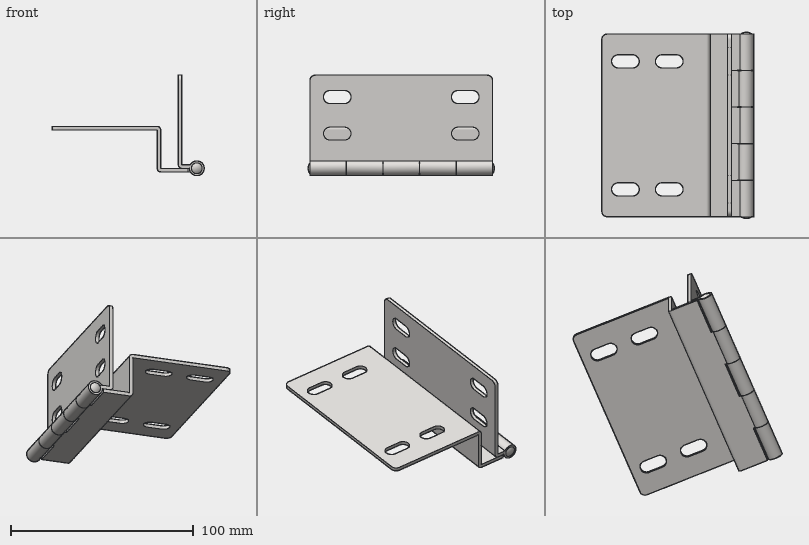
import cadquery as cq


leaf_width = 100.0
sheet = 2.0
corner_radius = 3.1

knuckle_radius = 4.1
knuckle_count = 5
knuckle_gap = 0.1
knuckle_clearance = 0.6

pin_radius = 3.0
dome_height = 1.0

offset_leaf_end = -79.0
offset_leaf_web = -21.7
offset_leaf_top = 23.0

angle_leaf_face = -10.2
angle_leaf_top = 51.0

slot_length = 15.0
slot_width = 7.0
slot_spacing_y = 70.0
offset_slot_edge = 13.0
offset_slot_pitch = 24.0
angle_slot_edge = 12.0
angle_slot_pitch = 20.0

knuckle_pitch = (leaf_width + knuckle_gap) / knuckle_count
knuckle_length = knuckle_pitch - knuckle_gap
notch_length = knuckle_length + 2 * knuckle_gap
angle_knuckles = range(0, knuckle_count, 2)
offset_knuckles = range(1, knuckle_count, 2)
angle_leaf_inner = angle_leaf_face + sheet
offset_notch_edge = -(knuckle_radius + knuckle_clearance)


def extrude_along_pin(profile, length, center_y=0):
    """Extrude an XZ profile symmetrically about center_y."""
    return profile.extrude(length / 2, both=True).translate((0, center_y, 0))


def knuckle_center(index):
    """Y of the middle of a knuckle, counted from the -Y end."""
    return (index - (knuckle_count - 1) / 2) * knuckle_pitch


def add_knuckles(leaf, notch_edge, own_indices, other_indices):
    """Roll a leaf's own knuckles and notch it back where the other leaf's knuckles sit."""
    for index in other_indices:
        notch = cq.Workplane("XY").box(-notch_edge, notch_length, 2 * sheet)
        leaf = leaf.cut(notch.translate((notch_edge / 2, knuckle_center(index), 0)))
    for index in own_indices:
        barrel = cq.Workplane("XZ").circle(knuckle_radius)
        leaf = leaf.union(extrude_along_pin(barrel, knuckle_length, knuckle_center(index)))
    bore = cq.Workplane("XZ").circle(pin_radius)
    return leaf.cut(extrude_along_pin(bore, leaf_width))


def make_offset_leaf():
    """Z-shaped leaf: mounting plate, web down, and a flange under Z = 0 to the pin."""
    web_inner = offset_leaf_web + sheet
    profile = (
        cq.Workplane("XZ")
        .moveTo(0, 0)
        .lineTo(web_inner, 0)
        .lineTo(web_inner, offset_leaf_top - sheet)
        .radiusArc((offset_leaf_web, offset_leaf_top), -sheet)
        .lineTo(offset_leaf_end, offset_leaf_top)
        .lineTo(offset_leaf_end, offset_leaf_top - sheet)
        .lineTo(offset_leaf_web, offset_leaf_top - sheet)
        .lineTo(offset_leaf_web, 0)
        .radiusArc((web_inner, -sheet), -sheet)
        .lineTo(0, -sheet)
        .close()
    )
    leaf = extrude_along_pin(profile, leaf_width)
    leaf = leaf.faces("<X").edges("|Z").fillet(corner_radius)

    slot_row_x = offset_leaf_end + offset_slot_edge + offset_slot_pitch / 2
    slots = (
        cq.Workplane("XY", origin=(slot_row_x, 0, offset_leaf_top))
        .rarray(offset_slot_pitch, slot_spacing_y, 2, 2)
        .slot2D(slot_length, slot_width)
        .extrude(-sheet)
    )
    return add_knuckles(leaf.cut(slots), offset_notch_edge, offset_knuckles, angle_knuckles)


def make_angle_leaf():
    """L-shaped leaf: upright plate and a flange on top of Z = 0 to the pin."""
    profile = (
        cq.Workplane("XZ")
        .moveTo(0, 0)
        .lineTo(angle_leaf_inner, 0)
        .radiusArc((angle_leaf_face, sheet), sheet)
        .lineTo(angle_leaf_face, angle_leaf_top)
        .lineTo(angle_leaf_inner, angle_leaf_top)
        .lineTo(angle_leaf_inner, sheet)
        .lineTo(0, sheet)
        .close()
    )
    leaf = extrude_along_pin(profile, leaf_width)
    leaf = leaf.faces(">Z").edges("|X").fillet(corner_radius)

    slot_row_z = angle_leaf_top - angle_slot_edge - angle_slot_pitch / 2
    slots = (
        cq.Workplane("YZ", origin=(angle_leaf_face, 0, slot_row_z))
        .rarray(slot_spacing_y, angle_slot_pitch, 2, 2)
        .slot2D(slot_length, slot_width)
        .extrude(sheet)
    )
    return add_knuckles(leaf.cut(slots), angle_leaf_inner, angle_knuckles, offset_knuckles)


def make_pin():
    """Round pin filling the knuckles, with a spherical dome on each end."""
    dome_radius = (pin_radius**2 + dome_height**2) / (2 * dome_height)
    half_width = leaf_width / 2
    tip = half_width + dome_height
    return (
        cq.Workplane("XY")
        .moveTo(0, -tip)
        .radiusArc((pin_radius, -half_width), -dome_radius)
        .lineTo(pin_radius, half_width)
        .radiusArc((0, tip), -dome_radius)
        .close()
        .revolve(360, (0, 0, 0), (0, 1, 0))
    )


offset_leaf = make_offset_leaf()
angle_leaf = make_angle_leaf()
pin = make_pin()

result = cq.Compound.makeCompound([offset_leaf.solids().val(), angle_leaf.solids().val(), pin.val()])